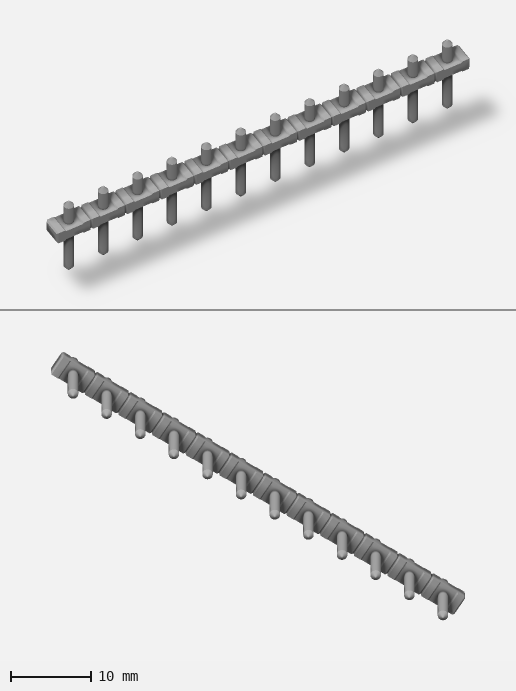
import cadquery as cq

pin_count = 12
strip_length = 60.0
strip_width = 2.8
strip_height = 1.8
end_chamfer = 0.2
recess_floor = 2.4
recess_mouth = 2.75
recess_depth = 0.2
pin_diameter = 1.3
tip_height = 0.85
pin_above = 3.5
pin_below = 7.2

pitch = strip_length / pin_count
pin_radius = pin_diameter / 2
pin_top = strip_height / 2 + pin_above
pin_bottom = -strip_height / 2 - pin_below


def make_housing():
    """Insulating block with chamfered ends and a shallow sloped-end recess above and below."""
    block = cq.Workplane("XY").box(strip_width, pitch, strip_height)
    block = block.faces("<Y or >Y").chamfer(end_chamfer)
    surface = strip_height / 2
    floor = surface - recess_depth
    trapezoid = [
        (-recess_mouth / 2, surface),
        (-recess_floor / 2, floor),
        (recess_floor / 2, floor),
        (recess_mouth / 2, surface),
    ]
    recess = cq.Workplane("YZ").polyline(trapezoid).close().extrude(strip_width / 2, both=True)
    return block.cut(recess).cut(recess.mirror("XY"))


def make_pin():
    """Round pin with a conical point at both ends."""
    half_profile = [
        (0, pin_bottom),
        (-pin_radius, pin_bottom + tip_height),
        (-pin_radius, pin_top - tip_height),
        (0, pin_top),
    ]
    return cq.Workplane("YZ").polyline(half_profile).close().revolve(360, (0, 0), (0, 1))


pole = make_housing().union(make_pin())
pole_positions = [(index - (pin_count - 1) / 2) * pitch for index in range(pin_count)]

result = pole.translate((0, pole_positions[0], 0))
for position in pole_positions[1:]:
    result = result.union(pole.translate((0, position, 0)))